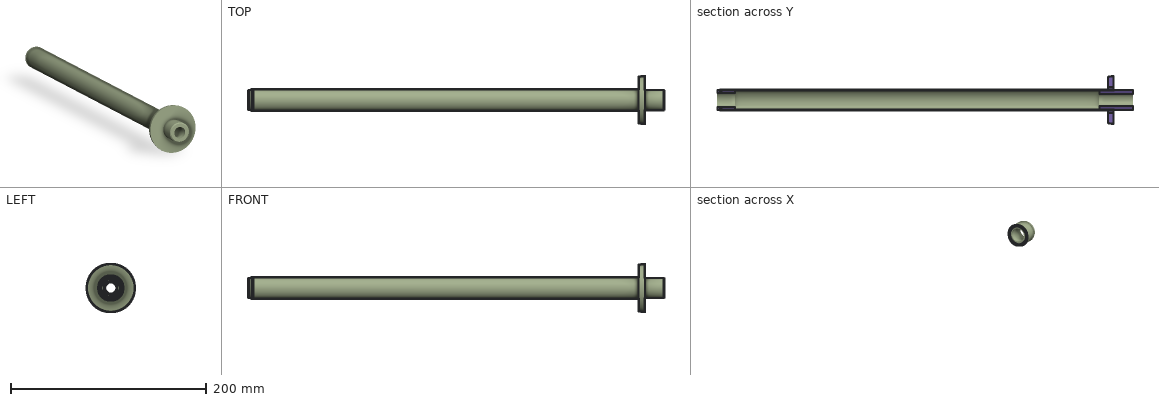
import cadquery as cq

TOTAL_LENGTH = 426.0
CENTER_X = TOTAL_LENGTH / 2

TUBE_RADIUS = 11.25
TUBE_BORE_RADIUS = 9.25
TUBE_START = 4.3
TUBE_END_CHAMFER = 1.2

THREAD_RADIUS = 10.48
THREAD_CHAMFER = 1.0
PLUG_BORE_RADIUS = 7.0
NIPPLE_BORE_RADIUS = 5.9
SPIGOT_LENGTH = 15.0

SEAL_START = 3.2

FLANGE_RADIUS = 24.75
FLANGE_FRONT_RADIUS = 23.85
FLANGE_FRONT = 399.7
FLANGE_BACK = 406.1
FLANGE_LIP = 1.2
FLANGE_FRONT_FILLET = 1.0
FLANGE_HOLE_RADIUS = 12.9


def ring(outer_radius, inner_radius, start, end):
    """Plain ring around the X axis from start to end."""
    return (
        cq.Workplane("YZ", origin=(start - CENTER_X, 0, 0))
        .circle(outer_radius)
        .circle(inner_radius)
        .extrude(end - start)
    )


def make_tube():
    tube = ring(TUBE_RADIUS, TUBE_BORE_RADIUS, TUBE_START, FLANGE_BACK)
    front_rim = tube.faces("<X").edges(cq.selectors.RadiusNthSelector(-1))
    return front_rim.chamfer(TUBE_END_CHAMFER)


def make_fitting(head_length, bore_radius):
    """Bored fitting with a chamfered end: the head starts at x = 0 and the spigot follows it toward +X."""
    profile = [
        (0, bore_radius),
        (0, THREAD_RADIUS - THREAD_CHAMFER),
        (THREAD_CHAMFER, THREAD_RADIUS),
        (head_length, THREAD_RADIUS),
        (head_length, TUBE_BORE_RADIUS),
        (head_length + SPIGOT_LENGTH, TUBE_BORE_RADIUS),
        (head_length + SPIGOT_LENGTH, bore_radius),
    ]
    return cq.Workplane("XY").polyline(profile).close().revolve(360, (0, 0, 0), (1, 0, 0))


def make_end_plug():
    return make_fitting(SEAL_START, PLUG_BORE_RADIUS).translate((-CENTER_X, 0, 0))


def make_wall_nipple():
    """Fitting turned round so that its head points toward +X behind the flange."""
    nipple = make_fitting(TOTAL_LENGTH - FLANGE_BACK, NIPPLE_BORE_RADIUS)
    return nipple.rotate((0, 0, 0), (0, 0, 1), 180).translate((CENTER_X, 0, 0))


def make_end_seal():
    return ring(TUBE_RADIUS, TUBE_BORE_RADIUS, SEAL_START, TUBE_START)


def make_flange():
    profile = [
        (FLANGE_FRONT, FLANGE_HOLE_RADIUS),
        (FLANGE_FRONT, FLANGE_FRONT_RADIUS),
        (FLANGE_BACK - FLANGE_LIP, FLANGE_RADIUS),
        (FLANGE_BACK, FLANGE_RADIUS),
        (FLANGE_BACK, FLANGE_HOLE_RADIUS),
    ]
    flange = (
        cq.Workplane("XY", origin=(-CENTER_X, 0, 0))
        .polyline(profile)
        .close()
        .revolve(360, (0, 0, 0), (1, 0, 0))
    )
    front_rim = flange.faces("<X").edges(cq.selectors.RadiusNthSelector(-1))
    return front_rim.fillet(FLANGE_FRONT_FILLET)


def make_flange_seal():
    """Ring that fills the gap between the tube and the flange hole."""
    return ring(FLANGE_HOLE_RADIUS, TUBE_RADIUS, FLANGE_FRONT, FLANGE_BACK)


tube = make_tube()
end_plug = make_end_plug()
end_seal = make_end_seal()
flange = make_flange()
flange_seal = make_flange_seal()
wall_nipple = make_wall_nipple()

bodies = [tube, end_plug, end_seal, flange, flange_seal, wall_nipple]
result = cq.Compound.makeCompound([body.val() for body in bodies])